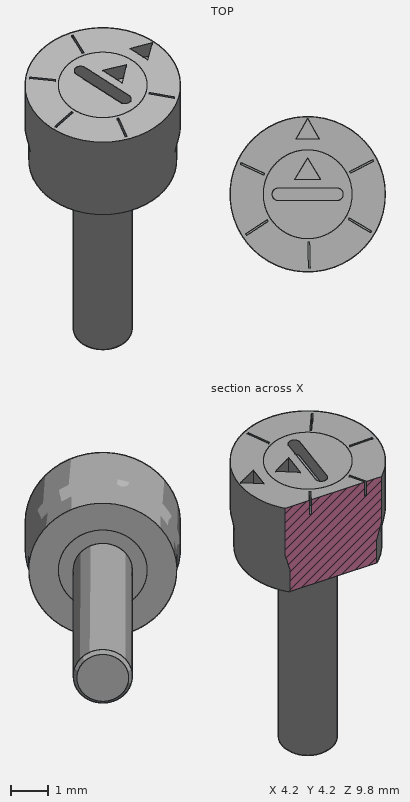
import cadquery as cq
import math


head_diameter = 4.2
neck_diameter = 4.0
head_height = 3.0
neck_height = 0.8
taper_angle = 10.0

insert_diameter = 2.4
stem_diameter = 1.6
overall_height = 9.8
stem_chamfer = 0.1

mark_depth = 0.5
ring_arrow_base = 1.49
ring_arrow_width = 0.63
ring_arrow_length = 0.56
insert_arrow_base = 0.4
insert_arrow_width = 0.7
insert_arrow_length = 0.58
slot_length = 1.92
slot_width = 0.34
tick_count = 5
tick_pitch = 58.0
first_tick_angle = 155.3
tick_inner_radius = 1.29
tick_length = 0.7
tick_width = 0.05

taper_height = (head_diameter - neck_diameter) / 2 / math.tan(math.radians(taper_angle))
taper_base_z = neck_height - head_height


def arrow_cutter(base_y, width, length):
    """Triangular prism pointing along +Y, reaching down from the top face."""
    return (
        cq.Workplane("XY")
        .moveTo(-width / 2, base_y)
        .lineTo(width / 2, base_y)
        .lineTo(0, base_y + length)
        .close()
        .extrude(-mark_depth)
    )


def tick_cutter(angle):
    """Thin radial bar at the given angle from +X, reaching down from the top face."""
    return (
        cq.Workplane("XY")
        .center(tick_inner_radius + tick_length / 2, 0)
        .rect(tick_length, tick_width)
        .extrude(-mark_depth)
        .rotate((0, 0, 0), (0, 0, 1), angle)
    )


def make_dial_ring():
    """Tapered ring with a through bore, an arrow and radial division ticks."""
    bore_radius = insert_diameter / 2
    head_radius = head_diameter / 2
    neck_radius = neck_diameter / 2
    ring = (
        cq.Workplane("XZ")
        .moveTo(bore_radius, 0)
        .lineTo(head_radius, 0)
        .lineTo(head_radius, taper_base_z + taper_height)
        .lineTo(neck_radius, taper_base_z)
        .lineTo(neck_radius, -head_height)
        .lineTo(bore_radius, -head_height)
        .close()
        .revolve(360, (0, 0, 0), (0, 1, 0))
    )
    ring = ring.cut(arrow_cutter(ring_arrow_base, ring_arrow_width, ring_arrow_length))
    for index in range(tick_count):
        ring = ring.cut(tick_cutter(first_tick_angle + index * tick_pitch))
    return ring


def make_arrow_insert():
    """Plug filling the ring bore, with a driver slot, an arrow and a chamfered stem."""
    plug = cq.Workplane("XY").circle(insert_diameter / 2).extrude(-head_height)
    stem = (
        cq.Workplane("XY")
        .workplane(offset=-overall_height)
        .circle(stem_diameter / 2)
        .extrude(overall_height - head_height)
        .faces("<Z")
        .chamfer(stem_chamfer)
    )
    slot = cq.Workplane("XY").slot2D(slot_length, slot_width).extrude(-mark_depth)
    arrow = arrow_cutter(insert_arrow_base, insert_arrow_width, insert_arrow_length)
    return plug.union(stem).cut(slot).cut(arrow)


dial_ring = make_dial_ring()
arrow_insert = make_arrow_insert()

result = cq.Compound.makeCompound([dial_ring.val(), arrow_insert.val()])